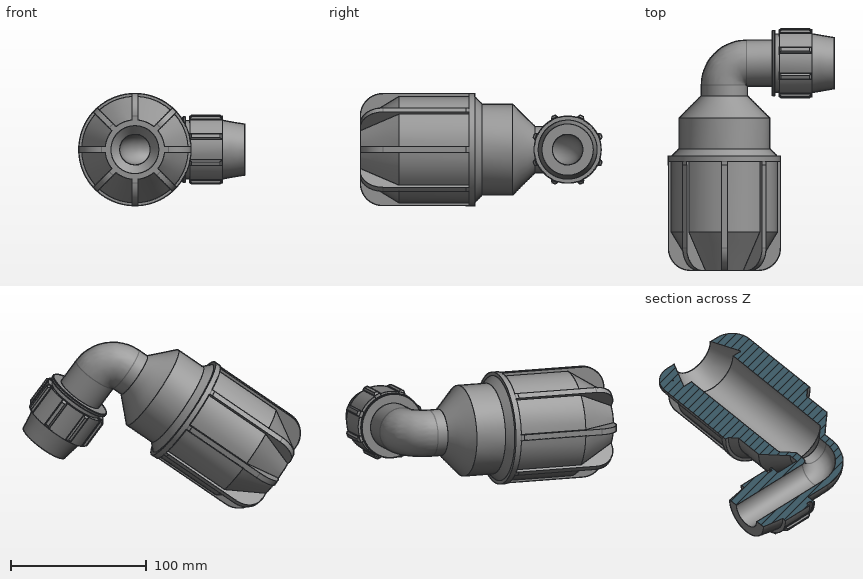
import cadquery as cq
import math

OVERALL_X = 122.5
OVERALL_Y = 178.4
WALL = 5.9
RIB_COUNT = 8
RIB_STEP = 360 / RIB_COUNT

COLLAR_R = 83.0 / 2
COLLAR_START = 80.3
COLLAR_END = 84.5
NUT_R = 39.3
NUT_END_R = 22.0
NUT_BACK_R = 38.9
NUT_CONE_END = 28.5
NUT_MOUTH_R = 17.7
FLARE_R = 55.5 / 2
FLARE_DEPTH = 22.3

RIB_TOP = 41.4
RIB_ROOT_R = 19.5
RIB_WIDTH = 4.3
RIB_CORNER_R = 16.6
RIB_PAD_LENGTH = 2.3

GRIP_TOP = 54.0 / 2
GRIP_BASE_R = 22.7
GRIP_WIDTH = 4.6
GRIP_TOP_WIDTH = 2.7
GRIP_BEVEL = 1.6
GRIP_START = 40.3
GRIP_LENGTH = 23.9
GRIP_ANGLE = RIB_STEP / 2
GRIP_REACH = (
    GRIP_TOP * math.cos(math.radians(GRIP_ANGLE))
    + GRIP_TOP_WIDTH / 2 * math.sin(math.radians(GRIP_ANGLE))
)

BODY_R = 67.3 / 2
BODY_BORE_R = 20.3
BODY_START = COLLAR_END + NUT_BACK_R - BODY_R
BODY_END = 112.4
TUBE_R = 17.1
TUBE_START = BODY_END + BODY_R - TUBE_R
BORE_R = TUBE_R - WALL
BEND_R = 16.2
OUTLET_Y = OVERALL_Y - GRIP_REACH
BEND_START = OUTLET_Y - BEND_R

FLANGE_R = 24.3
FLANGE_START = 35.1
FLANGE_WIDTH = 2.3
FLANGE_CHAMFER = 0.5
NECK_R = 21.5
SMALL_NUT_R = 24.8
SMALL_NUT_START = 40.7
SMALL_NUT_END = SMALL_NUT_START + GRIP_LENGTH
SMALL_CONE_R = 21.8
SMALL_END_R = 19.0
OUTLET_END = OVERALL_X - COLLAR_R


def turned_about_y(points):
    """Solid of revolution about the main axis from (radius, y) points."""
    return cq.Workplane("XY").polyline(points).close().revolve(360, (0, 0, 0), (0, 1, 0))


def turned_about_outlet(points):
    """Solid of revolution about the outlet axis from (x, radius) points."""
    profile = cq.Workplane("XY", origin=(0, OUTLET_Y, 0)).polyline(points).close()
    return profile.revolve(360, (0, 0, 0), (1, 0, 0))


def bend(radius):
    """Quarter torus joining both axes, its section cut off at the pivot of the bend."""
    section = cq.Workplane("XZ", origin=(0, BEND_START, 0))
    if radius < BEND_R:
        section = section.circle(radius)
    else:
        half_chord = math.sqrt(radius**2 - BEND_R**2)
        section = (
            section.moveTo(BEND_R, -half_chord)
            .threePointArc((-radius, 0), (BEND_R, half_chord))
            .close()
        )
    return section.revolve(90, (BEND_R, 0, 0), (BEND_R, -1, 0))


def main_outside():
    """Large nut, body and inlet tube up to the bend."""
    return turned_about_y([
        (0, 0),
        (NUT_END_R, 0),
        (NUT_R, NUT_CONE_END),
        (NUT_R, COLLAR_START),
        (COLLAR_R, COLLAR_START),
        (COLLAR_R, COLLAR_END),
        (NUT_BACK_R, COLLAR_END),
        (BODY_R, BODY_START),
        (BODY_R, BODY_END),
        (TUBE_R, TUBE_START),
        (TUBE_R, BEND_START),
        (0, BEND_START),
    ])


def nut_ribs():
    """Radial ribs with a rounded front corner, each ending in a short pad at the collar."""
    rib = (
        cq.Workplane("XY")
        .moveTo(RIB_ROOT_R, 0)
        .lineTo(RIB_TOP - RIB_CORNER_R, 0)
        .radiusArc((RIB_TOP, RIB_CORNER_R), -RIB_CORNER_R)
        .lineTo(RIB_TOP, COLLAR_START)
        .lineTo(RIB_ROOT_R, COLLAR_START)
        .close()
        .extrude(RIB_WIDTH / 2, both=True)
    )
    slice_box = (
        cq.Workplane("XY")
        .box(COLLAR_R, 2 * COLLAR_START, RIB_WIDTH, centered=(False, True, True))
    )
    pad = (
        cq.Workplane("XZ", origin=(0, COLLAR_START, 0))
        .circle(COLLAR_R)
        .extrude(RIB_PAD_LENGTH)
        .intersect(slice_box)
    )
    rib = rib.union(pad)
    ribs = cq.Workplane("XY")
    for i in range(RIB_COUNT):
        ribs = ribs.add(rib.rotate((0, 0, 0), (0, 1, 0), i * RIB_STEP))
    return ribs.combine()


def outlet_outside():
    """Outlet tube, flange, neck and small nut."""
    flange_end = FLANGE_START + FLANGE_WIDTH
    return turned_about_outlet([
        (BEND_R, 0),
        (BEND_R, TUBE_R),
        (FLANGE_START, TUBE_R),
        (FLANGE_START, FLANGE_R - FLANGE_CHAMFER),
        (FLANGE_START + FLANGE_CHAMFER, FLANGE_R),
        (flange_end - FLANGE_CHAMFER, FLANGE_R),
        (flange_end, FLANGE_R - FLANGE_CHAMFER),
        (flange_end, NECK_R),
        (SMALL_NUT_START, NECK_R),
        (SMALL_NUT_START, SMALL_NUT_R),
        (SMALL_NUT_END, SMALL_NUT_R),
        (SMALL_NUT_END, SMALL_CONE_R),
        (OUTLET_END, SMALL_END_R),
        (OUTLET_END, 0),
    ])


def outlet_grips():
    """Bars along the small nut, bevelled all round the top."""
    shoulder_z = GRIP_TOP - GRIP_BEVEL
    half_width = GRIP_WIDTH / 2
    half_top = GRIP_TOP_WIDTH / 2
    section = [
        (-half_width, GRIP_BASE_R),
        (-half_width, shoulder_z),
        (-half_top, GRIP_TOP),
        (half_top, GRIP_TOP),
        (half_width, shoulder_z),
        (half_width, GRIP_BASE_R),
    ]
    grip = (
        cq.Workplane("YZ", origin=(GRIP_START, OUTLET_Y, 0))
        .polyline(section)
        .close()
        .extrude(GRIP_LENGTH)
        .faces(">Z")
        .edges("|Y")
        .chamfer(GRIP_BEVEL)
    )
    grips = cq.Workplane("XY")
    for i in range(RIB_COUNT):
        angle = GRIP_ANGLE + i * RIB_STEP
        grips = grips.add(grip.rotate((0, OUTLET_Y, 0), (1, OUTLET_Y, 0), angle))
    return grips.combine()


def main_cavity():
    """Flared mouth stepping in to the body bore, then a 45 degree taper down to the elbow bore."""
    taper_start = TUBE_START - (BODY_BORE_R - BORE_R)
    return turned_about_y([
        (0, 0),
        (NUT_MOUTH_R, 0),
        (FLARE_R, FLARE_DEPTH),
        (BODY_BORE_R, FLARE_DEPTH),
        (BODY_BORE_R, taper_start),
        (BORE_R, TUBE_START),
        (BORE_R, BEND_START),
        (0, BEND_START),
    ])


def outlet_bore():
    """Bore from the bend through to the outlet end."""
    return turned_about_outlet([
        (BEND_R, 0),
        (BEND_R, BORE_R),
        (OUTLET_END, BORE_R),
        (OUTLET_END, 0),
    ])


outside = (
    main_outside()
    .union(bend(TUBE_R))
    .union(outlet_outside())
    .union(nut_ribs())
    .union(outlet_grips())
)
result = outside.cut(main_cavity()).cut(bend(BORE_R)).cut(outlet_bore())